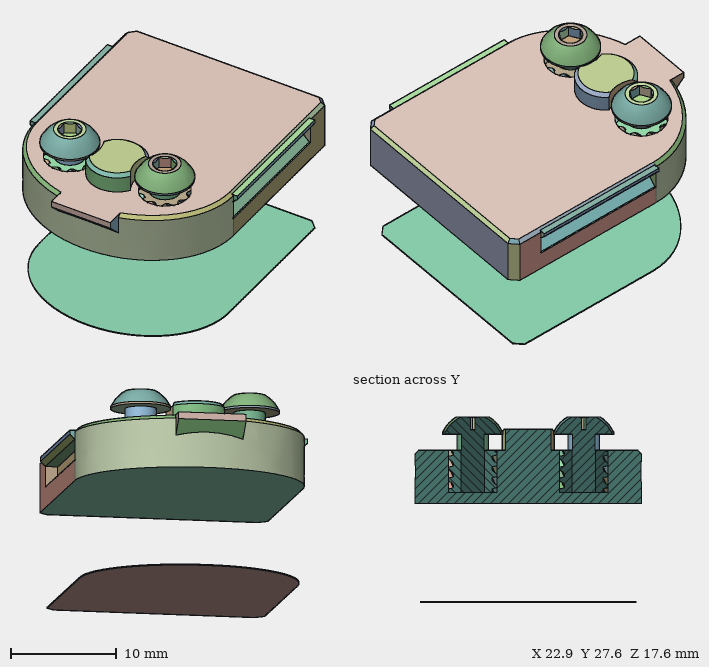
import cadquery as cq
import math

housing_width = 22.0
housing_height = 5.05
half_width = housing_width / 2
back_y = 20.5
shoulder_y = 3.0
front_y = -6.05
corner_cut = 0.8
top_chamfer = 0.35

rail_reach = 0.47
rail_back_y = 17.1
rail_drop = 0.2
rail_edge = 0.4
rail_bottom_z = housing_height - rail_drop - rail_edge - rail_reach
groove_depth = 1.2
groove_ledge = 0.15
groove_wall_drop = 2.0
groove_slope_z = housing_height - groove_wall_drop
groove_floor_z = groove_slope_z - (groove_depth - groove_ledge)

tongue_left = -3.0
tongue_right = 3.5
tongue_tip_y = -7.06
tongue_edge = 0.65
tongue_overlap = 2.0
tongue_root_y = front_y + tongue_overlap

button_diameter = 6.0
button_height = 2.0
button_chamfer = 0.35
screw_clearance_diameter = 6.5

screw_spacing = 10.5
screw_diameter = 3.0
screw_gap = 1.5
head_diameter = 5.7
head_flat_diameter = 3.09
head_height = 1.65
head_rim = 0.2
dome_bulge = 0.15
hex_across_flats = 2.0
hex_depth = 1.2
insert_diameter = 5.0
insert_root_diameter = 4.24
insert_length = 4.0
tooth_count = 10
notch_mouth_share = 0.7
notch_floor_share = 0.2
knurl_twist = -140.0

sheet_thickness = 0.1
sheet_drop = 9.35
sheet_inset = 0.5
sheet_back_inset = 1.0
sheet_corner_cut = 0.8

screw_xs = (-screw_spacing / 2, screw_spacing / 2)
insert_bottom_z = housing_height - insert_length


def plate(half_w, y_back, y_front, cut, thickness):
    """Plate with two cut back corners and a half-ellipse front."""
    front_radius = shoulder_y - y_front
    sides = (
        cq.Workplane("XY")
        .polyline([
            (-half_w, shoulder_y),
            (-half_w, y_back - cut),
            (-half_w + cut, y_back),
            (half_w - cut, y_back),
            (half_w, y_back - cut),
            (half_w, shoulder_y),
        ])
        .close()
        .extrude(thickness)
    )
    front = (
        cq.Workplane("XY")
        .center(0, shoulder_y)
        .moveTo(-half_w, 0)
        .ellipseArc(half_w, front_radius, 180, 360, startAtCurrent=True)
        .close()
        .extrude(thickness)
    )
    return sides.union(front)


def side_extrusion(points):
    """Extrude an XZ outline along the rail and repeat it on the other side."""
    left = (
        cq.Workplane("XZ", origin=(0, rail_back_y, 0))
        .polyline(points)
        .close()
        .extrude(rail_back_y - shoulder_y)
    )
    return left.union(left.mirror("YZ"))


def make_rails():
    rail_top_z = housing_height - rail_drop
    outer_x = -half_width - rail_reach
    inner_x = -half_width + top_chamfer
    return side_extrusion([
        (inner_x, rail_top_z - top_chamfer),
        (inner_x - rail_drop, rail_top_z),
        (outer_x, rail_top_z),
        (outer_x, rail_top_z - rail_edge),
        (-half_width, rail_bottom_z),
        (inner_x, rail_bottom_z),
    ])


def make_grooves():
    wall_x = -half_width + groove_depth
    return side_extrusion([
        (-half_width, rail_bottom_z),
        (wall_x, rail_bottom_z),
        (wall_x, groove_slope_z),
        (-half_width + groove_ledge, groove_floor_z),
        (-half_width, groove_floor_z),
    ])


def make_tongue():
    edge_z = housing_height - tongue_edge
    return (
        cq.Workplane("YZ", origin=(tongue_left, 0, 0))
        .polyline([
            (tongue_root_y, housing_height),
            (tongue_tip_y, housing_height),
            (tongue_tip_y, edge_z),
            (tongue_root_y, edge_z - (tongue_root_y - tongue_tip_y)),
        ])
        .close()
        .extrude(tongue_right - tongue_left)
    )


def make_button():
    button = (
        cq.Workplane("XY", origin=(0, 0, housing_height))
        .circle(button_diameter / 2)
        .extrude(button_height)
        .faces(">Z")
        .chamfer(button_chamfer)
    )
    for x in screw_xs:
        clearance = (
            cq.Workplane("XY", origin=(x, 0, housing_height))
            .circle(screw_clearance_diameter / 2)
            .extrude(button_height)
        )
        button = button.cut(clearance)
    return button


def make_housing():
    body = plate(half_width, back_y, front_y, corner_cut, housing_height)
    body = body.faces(">Z").chamfer(top_chamfer)
    body = body.cut(make_grooves())
    body = body.union(make_rails()).union(make_tongue()).union(make_button())
    for x in screw_xs:
        pocket = (
            cq.Workplane("XY", origin=(x, 0, insert_bottom_z))
            .circle(insert_diameter / 2)
            .extrude(insert_length)
        )
        body = body.cut(pocket)
    return body


def polar_point(radius, angle):
    """Point at a radius and an angle in radians."""
    return (radius * math.cos(angle), radius * math.sin(angle))


def make_insert(x):
    """Threaded insert with slanted notches around its rim."""
    outer_r = insert_diameter / 2
    root_r = insert_root_diameter / 2
    pitch = 2 * math.pi / tooth_count
    mouth_half = pitch * notch_mouth_share / 2
    floor_half = pitch * notch_floor_share / 2
    start_angle = math.pi / 2
    outline = cq.Workplane("XY").moveTo(*polar_point(outer_r, start_angle - mouth_half))
    for i in range(tooth_count):
        notch_angle = start_angle + i * pitch
        next_angle = notch_angle + pitch
        outline = (
            outline
            .lineTo(*polar_point(root_r, notch_angle - floor_half))
            .lineTo(*polar_point(root_r, notch_angle + floor_half))
            .lineTo(*polar_point(outer_r, notch_angle + mouth_half))
            .threePointArc(
                polar_point(outer_r, notch_angle + pitch / 2),
                polar_point(outer_r, next_angle - mouth_half),
            )
        )
    insert = (
        outline.close()
        .twistExtrude(insert_length, knurl_twist)
        .rotate((0, 0, 0), (0, 0, 1), -knurl_twist)
    )
    bore = cq.Workplane("XY").circle(screw_diameter / 2).extrude(insert_length)
    return insert.cut(bore).translate((x, 0, insert_bottom_z))


def make_screw(x):
    """Button-head screw whose shank reaches the bottom of its insert."""
    shank_r = screw_diameter / 2
    head_r = head_diameter / 2
    flat_r = head_flat_diameter / 2
    head_z = housing_height + screw_gap
    rim_z = head_z + head_rim
    top_z = head_z + head_height
    screw = (
        cq.Workplane("XZ")
        .moveTo(0, insert_bottom_z)
        .lineTo(shank_r, insert_bottom_z)
        .lineTo(shank_r, head_z)
        .lineTo(head_r, head_z)
        .lineTo(head_r, rim_z)
        .sagittaArc((flat_r, top_z), -dome_bulge)
        .lineTo(0, top_z)
        .close()
        .revolve(360, (0, 0, 0), (0, 1, 0))
    )
    hex_corner_diameter = hex_across_flats / math.cos(math.radians(30))
    socket = (
        cq.Workplane("XY", origin=(0, 0, top_z - hex_depth))
        .polygon(6, hex_corner_diameter)
        .extrude(hex_depth)
        .rotate((0, 0, 0), (0, 0, 1), 30)
    )
    lead_in_r = hex_corner_diameter / 2
    lead_in_tip = cq.Vector(0, 0, top_z - lead_in_r)
    lead_in = cq.Workplane(cq.Solid.makeCone(0, lead_in_r, lead_in_r, lead_in_tip))
    return screw.cut(socket).cut(lead_in).translate((x, 0, 0))


def make_sheet():
    sheet = plate(
        half_width - sheet_inset,
        back_y - sheet_back_inset,
        front_y + sheet_inset,
        sheet_corner_cut,
        sheet_thickness,
    )
    return sheet.translate((0, 0, -sheet_drop))


housing = make_housing()
sheet = make_sheet()
inserts = [make_insert(x) for x in screw_xs]
screws = [make_screw(x) for x in screw_xs]

result = cq.Compound.makeCompound([
    housing.val(),
    sheet.val(),
    *[insert.val() for insert in inserts],
    *[screw.val() for screw in screws],
])